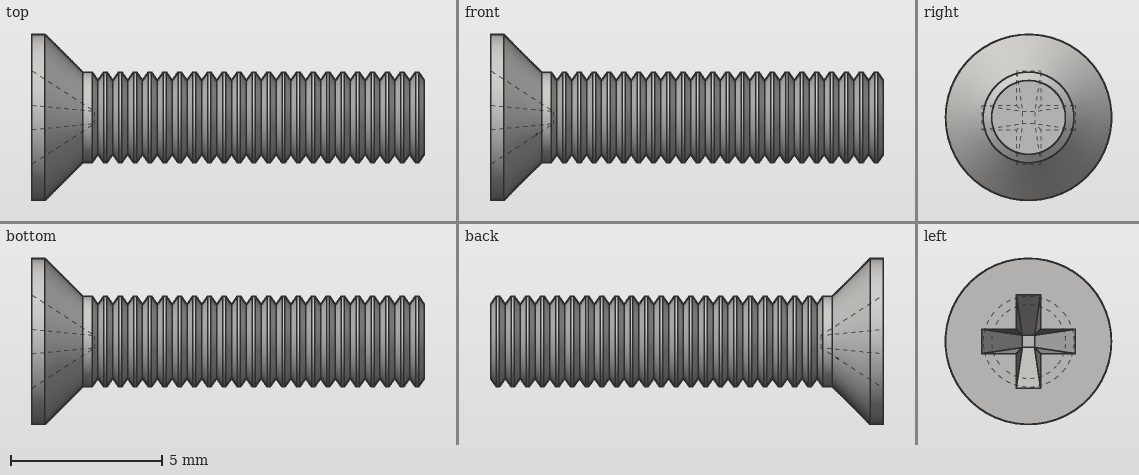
import cadquery as cq

total_length = 13.0
head_diameter = 5.5
head_rim_length = 0.44
thread_diameter = 3.0
core_diameter = 2.45
thread_start = 2.0
ridge_count = 22

recess_span = 3.1
recess_arm_width = 0.8
recess_floor_width = recess_arm_width / 2
recess_depth = 2.08

head_radius = head_diameter / 2
thread_radius = thread_diameter / 2
core_radius = core_diameter / 2

cone_end = head_rim_length + head_radius - thread_radius

crest_share = 0.2
flank_share = (1 - crest_share) / 2
pitch = (total_length - thread_start) / (ridge_count + flank_share)
flank_length = flank_share * pitch
crest_width = crest_share * pitch


def make_screw_body():
    """Revolve the head, plain neck and ridged shank about the X axis."""
    outline = [
        (0, 0),
        (0, -head_radius),
        (head_rim_length, -head_radius),
        (cone_end, -thread_radius),
        (thread_start, -thread_radius),
    ]
    first_root = thread_start + flank_length
    for ridge in range(ridge_count):
        root = first_root + ridge * pitch
        crest_start = root + flank_length
        outline.append((root, -core_radius))
        outline.append((crest_start, -thread_radius))
        outline.append((crest_start + crest_width, -thread_radius))
    outline.append((total_length, -core_radius))
    outline.append((total_length, 0))
    return cq.Workplane("XY").polyline(outline).close().revolve(360, (0, 0), (1, 0))


def make_recess_arm(size_y, size_z):
    """Taper a rectangle on the head face down to the square recess floor."""
    return (
        cq.Workplane("YZ")
        .rect(size_y, size_z)
        .workplane(offset=recess_depth)
        .rect(recess_floor_width, recess_floor_width)
        .loft(ruled=True)
    )


recess = make_recess_arm(recess_span, recess_arm_width).union(
    make_recess_arm(recess_arm_width, recess_span)
)

result = make_screw_body().cut(recess)